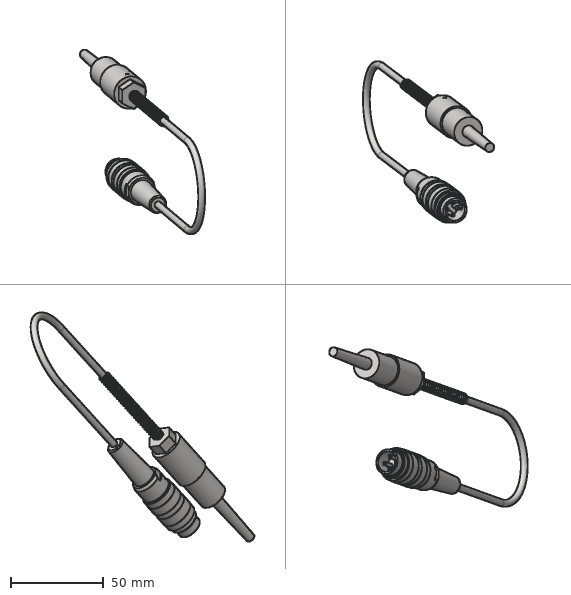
import cadquery as cq
import math


overall_length = 203.8
axis_spacing = 50.0
cable_diameter = 3.9
bend_radius = axis_spacing / 2
bend_start_x = overall_length - bend_radius - cable_diameter / 2

tip_diameter = 5.0
tip_base_diameter = 6.7
sleeve_start_x = 35.0
sleeve_diameter = 16.0
barrel_start_x = 54.8
barrel_end_x = 78.9
barrel_diameter = 18.1
screw_hole_diameter = 1.49
screw_hole_depth = 2.0
screw_hole_x = 73.8

nut_length = 6.3
nut_across_flats = 13.0
nut_across_corners = nut_across_flats / math.cos(math.radians(30))
nut_end_x = barrel_end_x + nut_length

wire_diameter = 1.0
spring_diameter = 6.1
spring_pitch = 2.0
spring_turns = 26.0
spring_start_x = nut_end_x + wire_diameter / 2
coil_radius = (spring_diameter - wire_diameter) / 2
spring_start_angle = 90.0

plug_start_x = 56.9
nose_diameter = 13.7
collar_start_x = 61.5
collar_diameter = 16.0
collar_chamfer = 0.6
grip_start_x = 65.2
grip_diameter = 18.1
band_diameter = 18.5
front_band_start_x = 69.0
front_band_end_x = 75.0
rear_band_start_x = 78.3
rear_band_end_x = 83.8
grip_end_x = 88.2
grip_chamfer = 0.6
back_diameter = 16.7
back_chamfer_length = 2.0
back_chamfer_depth = 0.8
plug_end_x = 99.3
flat_start_x = 94.8
across_wrench_flats = 14.9

boot_start_diameter = 12.6
boot_end_diameter = 9.8
boot_end_x = 127.0
boot_chamfer = 0.8

socket_diameter = 11.2
socket_depth = 10.2
key_width = 2.5
key_inner_y = 1.8
key_setback = 4.0
key_chamfer = 0.8
pin_diameter = 2.0
pin_chamfer = 0.5
pin_setback = 2.9
pin_circle_radius = 3.5
pin_angles = (0, 90, 180)


def plane_across_x(x, z=0.0):
    """Plane that looks along +X; its local axes are +Y and +Z."""
    return cq.Workplane(cq.Plane(origin=(x, 0, z), xDir=(0, 1, 0), normal=(1, 0, 0)))


def turned(profile):
    """Solid of revolution about the X axis from (x, radius) points that start and end on the axis."""
    return cq.Workplane("XZ").polyline(profile).close().revolve(360, (0, 0, 0), (1, 0, 0))


def make_probe():
    body = turned([
        (0, 0),
        (0, tip_diameter / 2),
        (sleeve_start_x, tip_base_diameter / 2),
        (sleeve_start_x, sleeve_diameter / 2),
        (barrel_start_x, sleeve_diameter / 2),
        (barrel_start_x, barrel_diameter / 2),
        (barrel_end_x, barrel_diameter / 2),
        (barrel_end_x, 0),
    ])
    screw_hole = (
        cq.Workplane("XY", origin=(screw_hole_x, 0, barrel_diameter / 2 - screw_hole_depth))
        .circle(screw_hole_diameter / 2)
        .extrude(2 * screw_hole_depth)
    )
    return body.cut(screw_hole)


def make_nut():
    """Hexagonal nut with corners at the top and bottom."""
    hexagon = plane_across_x(barrel_end_x).transformed(rotate=(0, 0, 90))
    return hexagon.polygon(6, nut_across_corners).extrude(nut_length)


def make_spring():
    """Right-handed coil, wound along +Z and then turned to lie along +X."""
    helix = cq.Wire.makeHelix(spring_pitch, spring_pitch * spring_turns, coil_radius, lefthand=False)
    wire_section = cq.Workplane("XZ", origin=(coil_radius, 0, 0)).circle(wire_diameter / 2)
    coil = wire_section.sweep(cq.Workplane(obj=helix), isFrenet=True)
    return (
        coil.rotate((0, 0, 0), (0, 0, 1), spring_start_angle)
        .rotate((0, 0, 0), (0, 1, 0), 90)
        .translate((spring_start_x, 0, 0))
    )


def make_cable():
    """Cable from the nut, round a half-circle bend and back to the boot."""
    path = (
        cq.Workplane("XZ", origin=(nut_end_x, 0, 0))
        .lineTo(bend_start_x - nut_end_x, 0)
        .threePointArc(
            (bend_start_x + bend_radius - nut_end_x, -bend_radius),
            (bend_start_x - nut_end_x, -axis_spacing),
        )
        .lineTo(boot_end_x - nut_end_x, -axis_spacing)
    )
    return plane_across_x(nut_end_x).circle(cable_diameter / 2).sweep(path)


def make_plug_outside():
    return turned([
        (plug_start_x, 0),
        (plug_start_x, nose_diameter / 2),
        (collar_start_x, nose_diameter / 2),
        (collar_start_x, collar_diameter / 2 - collar_chamfer),
        (collar_start_x + collar_chamfer, collar_diameter / 2),
        (grip_start_x, collar_diameter / 2),
        (grip_start_x, grip_diameter / 2),
        (front_band_start_x, grip_diameter / 2),
        (front_band_start_x, band_diameter / 2),
        (front_band_end_x, band_diameter / 2),
        (front_band_end_x, grip_diameter / 2),
        (rear_band_start_x, grip_diameter / 2),
        (rear_band_start_x, band_diameter / 2),
        (rear_band_end_x, band_diameter / 2),
        (rear_band_end_x, grip_diameter / 2),
        (grip_end_x - grip_chamfer, grip_diameter / 2),
        (grip_end_x, grip_diameter / 2 - grip_chamfer),
        (grip_end_x, back_diameter / 2),
        (plug_end_x - back_chamfer_length, back_diameter / 2),
        (plug_end_x, back_diameter / 2 - back_chamfer_depth),
        (plug_end_x, boot_start_diameter / 2),
        (boot_end_x - boot_chamfer, boot_end_diameter / 2),
        (boot_end_x, boot_end_diameter / 2 - boot_chamfer),
        (boot_end_x, 0),
    ])


def make_wrench_flat_cutter(side):
    """Block that trims one wrench flat at the back of the shell; side is +1 or -1 along Y."""
    length = plug_end_x - flat_start_x
    middle_x = (plug_end_x + flat_start_x) / 2
    middle_y = side * (across_wrench_flats + back_diameter) / 2
    return cq.Workplane("XY").box(length, back_diameter, back_diameter).translate((middle_x, middle_y, 0))


def make_key():
    """Rib on the -Y wall of the socket with a rounded inner end and a chamfered front edge."""
    round_centre_y = -key_inner_y - key_width / 2
    root_y = -(socket_diameter + nose_diameter) / 4
    length = socket_depth - key_setback
    return (
        plane_across_x(plug_start_x + key_setback)
        .moveTo(root_y, -key_width / 2)
        .lineTo(round_centre_y, -key_width / 2)
        .threePointArc((-key_inner_y, 0), (round_centre_y, key_width / 2))
        .lineTo(root_y, key_width / 2)
        .close()
        .extrude(length)
        .faces("<X")
        .chamfer(key_chamfer)
    )


def make_plug():
    socket = plane_across_x(plug_start_x).circle(socket_diameter / 2).extrude(socket_depth)
    plug = make_plug_outside().cut(socket).union(make_key())
    for side in (-1, 1):
        plug = plug.cut(make_wrench_flat_cutter(side))
    return plug.translate((0, 0, -axis_spacing))


def make_pin(angle):
    """Contact pin that stands on the socket floor at the given angle round the plug axis."""
    y = pin_circle_radius * math.sin(math.radians(angle))
    z = pin_circle_radius * math.cos(math.radians(angle)) - axis_spacing
    return (
        plane_across_x(plug_start_x + pin_setback)
        .center(y, z)
        .circle(pin_diameter / 2)
        .extrude(socket_depth - pin_setback)
        .faces("<X")
        .chamfer(pin_chamfer)
    )


probe = make_probe()
nut = make_nut()
spring = make_spring()
cable = make_cable()
plug = make_plug()
pins = [make_pin(angle) for angle in pin_angles]

result = cq.Compound.makeCompound([
    probe.val(),
    nut.val(),
    spring.val(),
    cable.val(),
    plug.val(),
    *[pin.val() for pin in pins],
])